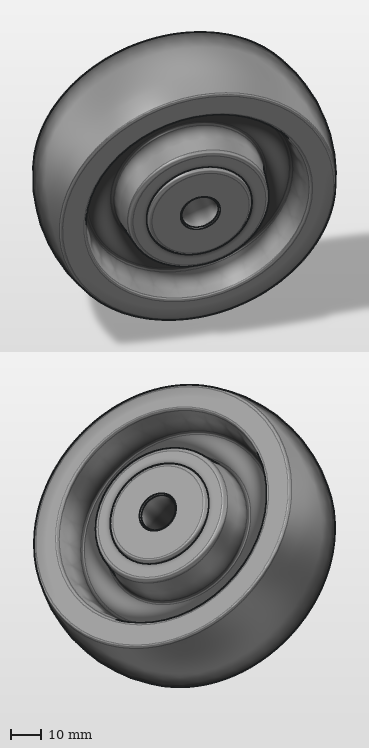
import cadquery as cq

wheel_radius = 50.0
hub_width = 40.0
crown_radius = 50.0
rim_width = 34.0
web_thickness = 10.0

recess_outer_mouth_radius = 38.3
recess_outer_floor_radius = 35.2
hub_root_radius = 25.8
hub_top_radius = 24.0
shoulder_width = 37.0

boss_radius = 18.0
bore_diameter = 12.5
bore_chamfer = 0.5

rim_edge_fillet = 1.0
recess_fillet = 1.0
hub_edge_fillet = 1.5
boss_edge_fillet = 1.4

position_tolerance = 0.01

bore_radius = bore_diameter / 2
half_hub = hub_width / 2
half_rim = rim_width / 2
half_web = web_thickness / 2
half_shoulder = shoulder_width / 2


def make_body():
    """Revolve the outer half-section about the axle."""
    crown_drop = crown_radius - (crown_radius**2 - half_rim**2) ** 0.5
    tread_edge_radius = wheel_radius - crown_drop
    right_side = [
        (half_rim, recess_outer_mouth_radius),
        (half_web, recess_outer_floor_radius),
        (half_web, hub_root_radius),
        (half_shoulder, hub_top_radius),
        (half_shoulder, boss_radius),
        (half_hub, boss_radius),
        (half_hub, 0),
    ]
    left_side = [(-x, radius) for x, radius in reversed(right_side)]
    profile = (
        cq.Workplane("XY")
        .moveTo(-half_rim, tread_edge_radius)
        .threePointArc((0, wheel_radius), (half_rim, tread_edge_radius))
    )
    for x, radius in right_side + left_side:
        profile = profile.lineTo(x, radius)
    return profile.close().revolve(360, (0, 0, 0), (1, 0, 0))


def fillet_rings(body, half_spacing, inner_radius, fillet):
    """Round the circular edges at x = +/-half_spacing that lie beyond inner_radius."""
    rings = [
        edge
        for edge in body.edges("%CIRCLE").vals()
        if abs(abs(edge.Center().x) - half_spacing) < position_tolerance
        and edge.radius() > inner_radius
    ]
    return body.newObject(rings).fillet(fillet)


def cut_bore(body):
    """Drill the axle hole and chamfer both mouths."""
    bore = cq.Workplane("YZ").circle(bore_radius).extrude(half_hub, both=True)
    body = body.cut(bore)
    end_faces = body.faces("<X or >X")
    mouths = end_faces.edges(cq.selectors.RadiusNthSelector(0))
    return mouths.chamfer(bore_chamfer)


result = make_body()
result = fillet_rings(result, half_rim, hub_root_radius, rim_edge_fillet)
result = fillet_rings(result, half_web, boss_radius, recess_fillet)
result = fillet_rings(result, half_shoulder, (boss_radius + hub_top_radius) / 2, hub_edge_fillet)
result = fillet_rings(result, half_hub, bore_radius, boss_edge_fillet)
result = cut_bore(result)